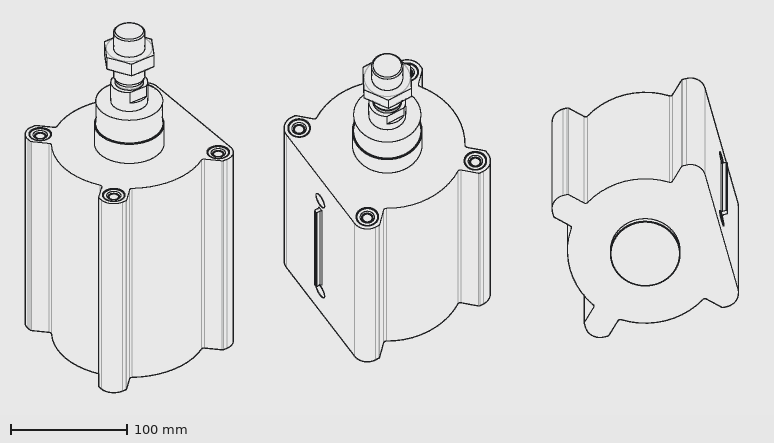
import cadquery as cq
import math

OVERALL_HEIGHT = 325.0
BARREL_BOTTOM = 6.5
BARREL_LENGTH = 200.0
BARREL_TOP = BARREL_BOTTOM + BARREL_LENGTH
COLLAR_TOP = BARREL_TOP + 20.8
BELLOWS_TOP = COLLAR_TOP + 24.0

BARREL_SIDE = 136.0
HALF_SIDE = BARREL_SIDE / 2
TUBE_RADIUS = 67.0
LUG_RADIUS = 13.0
LUG_OFFSET = HALF_SIDE - LUG_RADIUS
NOTCH_SHIFT = 17.2
NOTCH_ROOT_FILLET = 2.3
LUG_LIP_FILLET = 1.5

COLLAR_DIAMETER = 60.0
COLLAR_CHAMFER = 0.5
BELLOWS_DIAMETER = 58.0
BELLOWS_WAIST_DIAMETER = 57.0

RECESS_DIAMETER = 19.5
RECESS_STEP_DIAMETER = 18.5
RECESS_FLOOR_DIAMETER = 18.0
RECESS_CONE_DEPTH = 0.3
RECESS_DEPTH = 0.5
HOLE_MOUTH_DIAMETER = 12.5
HOLE_DIAMETER = 10.0
THREAD_CORE_DIAMETER = 8.0
HOLE_STEP_DEPTH = 2.0
HOLE_DEPTH = 29.2

RAIL_HEIGHT = 5.2
RAIL_WIDTH = 3.2
RAIL_TIP_CHAMFER = 0.5
RAIL_FOOT_HEIGHT = 1.3
RAIL_FOOT_FLARE = 1.0
RAIL_BOTTOM = 50.0
RAIL_LENGTH = 111.0
BOSS_DIAMETER = 14.0
BOSS_THICKNESS = 0.3
BOSS_HEIGHTS = (38.7, 174.0)

ROD_DIAMETER = 32.0
ROD_SHOULDER = 271.0
FLAT_DEPTH = 2.5
FLAT_LENGTH = 11.0
THREAD_DIAMETER = 27.0
THREAD_BOTTOM = 277.5
THREAD_CHAMFER = 1.3
NECK_DIAMETER = 24.5
NECK_TOP = 274.3
NECK_BOTTOM = 272.0
ROD_LIP_DIAMETER = 24.7

NUT_SIDES = 6
HALF_CORNER_ANGLE = 180 / NUT_SIDES
NUT_ACROSS_FLATS = 41.0
NUT_ACROSS_CORNERS = NUT_ACROSS_FLATS / math.cos(math.radians(HALF_CORNER_ANGLE))
NUT_BOTTOM = 294.0
NUT_HEIGHT = 12.7
NUT_FACE_DIAMETER = 39.5
NUT_CHAMFER_HEIGHT = 0.3


def disc(diameter, bottom, height):
    return cq.Workplane("XY").workplane(offset=bottom).circle(diameter / 2).extrude(height)


def make_barrel_block():
    """Extruded tube with lugs; the notches beside the lugs run at 45 degrees down to the tube."""
    root_x = (NOTCH_SHIFT + math.sqrt(2 * TUBE_RADIUS**2 - NOTCH_SHIFT**2)) / 2
    root_y = root_x - NOTCH_SHIFT
    lip = HALF_SIDE - NOTCH_SHIFT
    outline = (
        cq.Workplane("XY")
        .workplane(offset=BARREL_BOTTOM)
        .moveTo(HALF_SIDE, HALF_SIDE)
        .lineTo(HALF_SIDE, lip)
        .lineTo(root_x, root_y)
        .threePointArc((TUBE_RADIUS, 0), (root_x, -root_y))
        .lineTo(HALF_SIDE, -lip)
        .lineTo(HALF_SIDE, -HALF_SIDE)
        .lineTo(lip, -HALF_SIDE)
        .lineTo(root_y, -root_x)
        .threePointArc((0, -TUBE_RADIUS), (-root_y, -root_x))
        .lineTo(-lip, -HALF_SIDE)
        .lineTo(-HALF_SIDE, -HALF_SIDE)
        .lineTo(-HALF_SIDE, -lip)
        .lineTo(-root_x, -root_y)
        .threePointArc((-TUBE_RADIUS, 0), (-root_x, root_y))
        .lineTo(-HALF_SIDE, lip)
        .lineTo(-HALF_SIDE, HALF_SIDE)
        .close()
    )
    block = outline.extrude(BARREL_LENGTH)

    def edges_at(distance, tolerance=0.03):
        """Upright edges at the given distance from the cylinder axis."""
        upright = block.edges("|Z")
        return upright.filter(
            lambda edge: abs(math.hypot(edge.Center().x, edge.Center().y) - distance) < tolerance
        )

    block = edges_at(math.hypot(HALF_SIDE, HALF_SIDE)).fillet(LUG_RADIUS)
    block = edges_at(math.hypot(HALF_SIDE, lip)).fillet(LUG_LIP_FILLET)
    block = edges_at(TUBE_RADIUS).fillet(NOTCH_ROOT_FILLET)
    return block


def make_screw_hole():
    """Stepped hole cutter, with its mouth at the barrel top and on the Z axis."""
    floor = -RECESS_DEPTH
    mouth_depth = (HOLE_MOUTH_DIAMETER - HOLE_DIAMETER) / 2
    return (
        cq.Workplane("XZ")
        .moveTo(0, 0)
        .lineTo(RECESS_DIAMETER / 2, 0)
        .lineTo(RECESS_STEP_DIAMETER / 2, -RECESS_CONE_DEPTH)
        .lineTo(RECESS_FLOOR_DIAMETER / 2, -RECESS_CONE_DEPTH)
        .lineTo(RECESS_FLOOR_DIAMETER / 2, floor)
        .lineTo(HOLE_MOUTH_DIAMETER / 2, floor)
        .lineTo(HOLE_DIAMETER / 2, floor - mouth_depth)
        .lineTo(HOLE_DIAMETER / 2, -HOLE_STEP_DEPTH)
        .lineTo(THREAD_CORE_DIAMETER / 2, -HOLE_STEP_DEPTH)
        .lineTo(THREAD_CORE_DIAMETER / 2, -HOLE_DEPTH)
        .lineTo(0, -HOLE_DEPTH)
        .close()
        .revolve(360, (0, 0, 0), (0, 1, 0))
        .translate((0, 0, BARREL_TOP))
    )


def make_bellows():
    """Short sleeve above the collar with a slightly hollow side."""
    middle = (COLLAR_TOP + BELLOWS_TOP) / 2
    return (
        cq.Workplane("XZ")
        .moveTo(0, COLLAR_TOP)
        .lineTo(BELLOWS_DIAMETER / 2, COLLAR_TOP)
        .threePointArc((BELLOWS_WAIST_DIAMETER / 2, middle), (BELLOWS_DIAMETER / 2, BELLOWS_TOP))
        .lineTo(0, BELLOWS_TOP)
        .close()
        .revolve(360, (0, 0, 0), (0, 1, 0))
    )


def make_rail():
    """Narrow upright rail on the flat back, flared at its foot and chamfered at its tip."""
    half_width = RAIL_WIDTH / 2
    tip = HALF_SIDE + RAIL_HEIGHT
    shoulder = tip - RAIL_TIP_CHAMFER
    foot_top = HALF_SIDE + RAIL_FOOT_HEIGHT
    half_section = [
        (half_width + RAIL_FOOT_FLARE, HALF_SIDE),
        (half_width, foot_top),
        (half_width, shoulder),
        (half_width - RAIL_TIP_CHAMFER, tip),
    ]
    mirrored = [(-x, y) for x, y in reversed(half_section)]
    return (
        cq.Workplane("XY")
        .workplane(offset=RAIL_BOTTOM)
        .polyline(half_section + mirrored)
        .close()
        .extrude(RAIL_LENGTH)
    )


def make_port_boss(height):
    return (
        cq.Workplane("XZ", origin=(0, HALF_SIDE, height))
        .circle(BOSS_DIAMETER / 2)
        .extrude(-BOSS_THICKNESS)
    )


def make_housing():
    housing = make_barrel_block()
    collar = disc(COLLAR_DIAMETER, BARREL_TOP, COLLAR_TOP - BARREL_TOP)
    spigot = disc(COLLAR_DIAMETER, 0, BARREL_BOTTOM)
    housing = housing.union(collar.faces(">Z").edges().chamfer(COLLAR_CHAMFER))
    housing = housing.union(spigot.faces("<Z").edges().chamfer(COLLAR_CHAMFER))
    housing = housing.union(make_bellows())
    housing = housing.union(make_rail())
    for height in BOSS_HEIGHTS:
        housing = housing.union(make_port_boss(height))
    for x in (-LUG_OFFSET, LUG_OFFSET):
        for y in (-LUG_OFFSET, LUG_OFFSET):
            housing = housing.cut(make_screw_hole().translate((x, y, 0)))
    return housing


def make_rod():
    """Turned rod standing on the bellows, with two wrench flats below the undercut."""
    rod = (
        cq.Workplane("XZ")
        .moveTo(0, BELLOWS_TOP)
        .lineTo(ROD_DIAMETER / 2, BELLOWS_TOP)
        .lineTo(ROD_DIAMETER / 2, ROD_SHOULDER)
        .lineTo(ROD_LIP_DIAMETER / 2, ROD_SHOULDER)
        .lineTo(NECK_DIAMETER / 2, NECK_BOTTOM)
        .lineTo(NECK_DIAMETER / 2, NECK_TOP)
        .lineTo(THREAD_DIAMETER / 2, THREAD_BOTTOM)
        .lineTo(THREAD_DIAMETER / 2, OVERALL_HEIGHT - THREAD_CHAMFER)
        .lineTo(THREAD_DIAMETER / 2 - THREAD_CHAMFER, OVERALL_HEIGHT)
        .lineTo(0, OVERALL_HEIGHT)
        .close()
        .revolve(360, (0, 0, 0), (0, 1, 0))
    )
    flat_distance = ROD_DIAMETER / 2 - FLAT_DEPTH
    for side in (-1, 1):
        cutter = (
            cq.Workplane("XY")
            .box(2 * FLAT_DEPTH, ROD_DIAMETER, FLAT_LENGTH)
            .translate((side * (flat_distance + FLAT_DEPTH), 0, ROD_SHOULDER - FLAT_LENGTH / 2))
        )
        rod = rod.cut(cutter)
    return rod


def make_nut():
    """Hexagon nut with two corners on the Y axis, chamfered on both faces and bored for the rod."""
    nut = (
        cq.Workplane("XY")
        .workplane(offset=NUT_BOTTOM)
        .polygon(NUT_SIDES, NUT_ACROSS_CORNERS)
        .extrude(NUT_HEIGHT)
        .rotate((0, 0, 0), (0, 0, 1), HALF_CORNER_ANGLE)
    )
    face_radius = NUT_FACE_DIAMETER / 2
    corner_radius = NUT_ACROSS_CORNERS / 2
    nut_top = NUT_BOTTOM + NUT_HEIGHT
    blank = (
        cq.Workplane("XZ")
        .moveTo(0, NUT_BOTTOM)
        .lineTo(face_radius, NUT_BOTTOM)
        .lineTo(corner_radius, NUT_BOTTOM + NUT_CHAMFER_HEIGHT)
        .lineTo(corner_radius, nut_top - NUT_CHAMFER_HEIGHT)
        .lineTo(face_radius, nut_top)
        .lineTo(0, nut_top)
        .close()
        .revolve(360, (0, 0, 0), (0, 1, 0))
    )
    return nut.intersect(blank).cut(disc(THREAD_DIAMETER, NUT_BOTTOM, NUT_HEIGHT))


housing = make_housing()
rod = make_rod()
nut = make_nut()

result = cq.Compound.makeCompound([housing.val(), rod.val(), nut.val()])